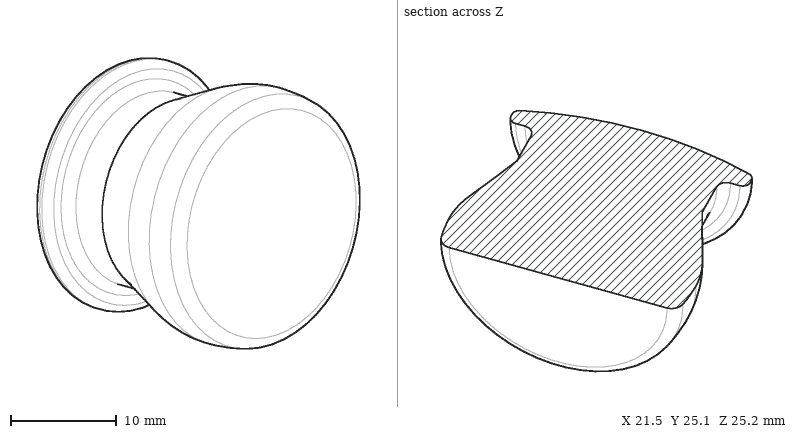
import cadquery as cq
import math

length = 21.46

dome_radius = 40.0
flange_radius = 12.2
rim_fillet = 0.8
flange_back_x = 3.59

neck_radius = 9.45
neck_fillet = 1.0
neck_end_x = 8.2

crown_x = 17.85
crown_radius = 12.575
crown_front_curve_radius = 9.6
crown_back_curve_radius = 12.5
end_fillet = 1.25


def arc_point(center, radius, angle_degrees):
    """Point on a circle in the profile plane, as (axial position, radius from axis)."""
    angle = math.radians(angle_degrees)
    return (center[0] + radius * math.cos(angle), center[1] + radius * math.sin(angle))


rim_center_radius = flange_radius - rim_fillet
dome_center = (dome_radius, 0.0)
front_rim_center_x = dome_center[0] - math.sqrt((dome_radius - rim_fillet) ** 2 - rim_center_radius**2)
front_rim_center = (front_rim_center_x, rim_center_radius)
back_rim_center = (flange_back_x - rim_fillet, rim_center_radius)
dome_edge_angle = 180.0 - math.degrees(math.asin(rim_center_radius / (dome_radius - rim_fillet)))
dome_edge = arc_point(dome_center, dome_radius, dome_edge_angle)

neck_fillet_center = (flange_back_x + neck_fillet, neck_radius + neck_fillet)

crown_front_center = (crown_x, crown_radius - crown_front_curve_radius)
neck_to_center_x = crown_front_center[0] - neck_end_x
neck_to_center_radius = crown_front_center[1] - neck_radius
neck_to_center = math.hypot(neck_to_center_x, neck_to_center_radius)
flare_angle = math.degrees(
    math.atan2(neck_to_center_radius, neck_to_center_x)
    + math.asin(crown_front_curve_radius / neck_to_center)
)
flare_end_angle = 90.0 + flare_angle
flare_end = arc_point(crown_front_center, crown_front_curve_radius, flare_end_angle)

crown_back_center = (crown_x, crown_radius - crown_back_curve_radius)
end_center_x = length - end_fillet
end_center_offset = math.sqrt(
    (crown_back_curve_radius - end_fillet) ** 2 - (end_center_x - crown_x) ** 2
)
end_center = (end_center_x, crown_back_center[1] + end_center_offset)
crown_edge_angle = math.degrees(math.atan2(end_center_offset, end_center_x - crown_x))
crown_edge = arc_point(end_center, end_fillet, crown_edge_angle)


def make_profile():
    """Closed half profile of the knob, from the dome apex round to the axis."""
    return (
        cq.Workplane("XZ")
        .moveTo(0, 0)
        .threePointArc(arc_point(dome_center, dome_radius, (180.0 + dome_edge_angle) / 2), dome_edge)
        .threePointArc(
            arc_point(front_rim_center, rim_fillet, (dome_edge_angle + 90.0) / 2),
            (front_rim_center[0], flange_radius),
        )
        .lineTo(back_rim_center[0], flange_radius)
        .threePointArc(
            arc_point(back_rim_center, rim_fillet, 45.0),
            (flange_back_x, rim_center_radius),
        )
        .lineTo(flange_back_x, neck_fillet_center[1])
        .threePointArc(
            arc_point(neck_fillet_center, neck_fillet, 225.0),
            (neck_fillet_center[0], neck_radius),
        )
        .lineTo(neck_end_x, neck_radius)
        .lineTo(*flare_end)
        .threePointArc(
            arc_point(crown_front_center, crown_front_curve_radius, (90.0 + flare_end_angle) / 2),
            (crown_x, crown_radius),
        )
        .threePointArc(
            arc_point(crown_back_center, crown_back_curve_radius, (90.0 + crown_edge_angle) / 2),
            crown_edge,
        )
        .threePointArc(
            arc_point(end_center, end_fillet, crown_edge_angle / 2),
            (length, end_center[1]),
        )
        .lineTo(length, 0)
        .close()
    )


result = make_profile().revolve(360, (0, 0, 0), (1, 0, 0))